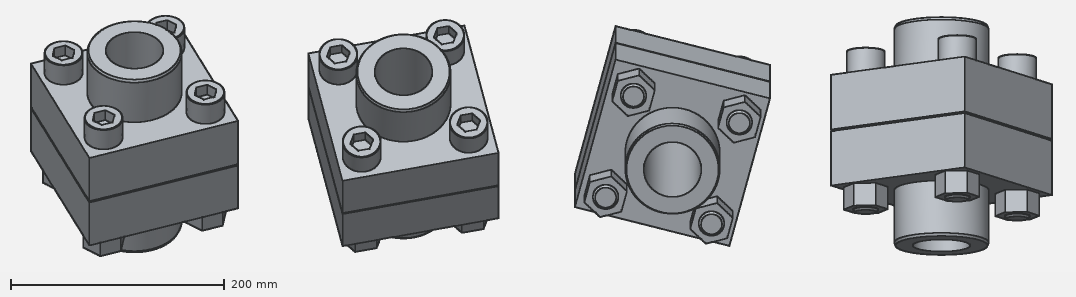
import cadquery as cq

total_height = 210.0
flange_height = total_height / 2
plate_side = 150.0
lower_plate_thickness = 52.0
upper_plate_top = 54.2

raised_face_diameter = 110.0
raised_face_height = 1.7

collar_diameter = 88.8
collar_end_diameter = 86.3
collar_chamfer_height = 2.7
bore_diameter = 54.0

bolt_spacing = 102.7
bolt_diameter = 24.0
head_diameter = 36.0
head_height = bolt_diameter
head_chamfer = 0.6
socket_width = 19.1
socket_depth = 12.0
nut_width = head_diameter
nut_height = 21.5
bolt_end_projection = 2.5
bolt_end_chamfer = 2.0


def cylinder(diameter, bottom, top):
    """Vertical cylinder on the Z axis."""
    return cq.Workplane("XY").workplane(offset=bottom).circle(diameter / 2).extrude(top - bottom)


def hexagonal_prism(width, bottom, top):
    """Vertical hexagonal prism on the Z axis with two of its flats facing +X and -X."""
    prism = cq.Workplane("XY").workplane(offset=bottom)
    return prism.polygon(6, width, circumscribed=True).extrude(top - bottom)


def square_plate(bottom, top):
    """Square flange plate centred on the Z axis."""
    return cq.Workplane("XY").workplane(offset=bottom).rect(plate_side, plate_side).extrude(top - bottom)


def collars():
    """Both pipe collars as one column, bevelled at its two ends."""
    bevel_width = (collar_diameter - collar_end_diameter) / 2
    column = cylinder(collar_diameter, -flange_height, flange_height)
    column = column.faces(">Z").chamfer(collar_chamfer_height, bevel_width)
    return column.faces("<Z").chamfer(collar_chamfer_height, bevel_width)


def fastener():
    """Socket head screw with its nut, on the Z axis."""
    head_top = upper_plate_top + head_height
    nut_bottom = -lower_plate_thickness - nut_height
    head = cylinder(head_diameter, upper_plate_top, head_top).faces(">Z").chamfer(head_chamfer)
    socket = hexagonal_prism(socket_width, head_top - socket_depth, head_top)
    shank = cylinder(bolt_diameter, nut_bottom - bolt_end_projection, upper_plate_top)
    shank = shank.faces("<Z").chamfer(bolt_end_chamfer)
    nut = hexagonal_prism(nut_width, nut_bottom, -lower_plate_thickness)
    return shank.union(head).union(nut).cut(socket)


result = square_plate(-lower_plate_thickness, 0)
result = result.union(cylinder(raised_face_diameter, 0, raised_face_height))
result = result.union(square_plate(raised_face_height, upper_plate_top))
result = result.union(collars())
result = result.cut(cylinder(bore_diameter, -flange_height, flange_height))

for x_side in (-1, 1):
    for y_side in (-1, 1):
        position = (x_side * bolt_spacing / 2, y_side * bolt_spacing / 2, 0)
        result = result.union(fastener().translate(position))